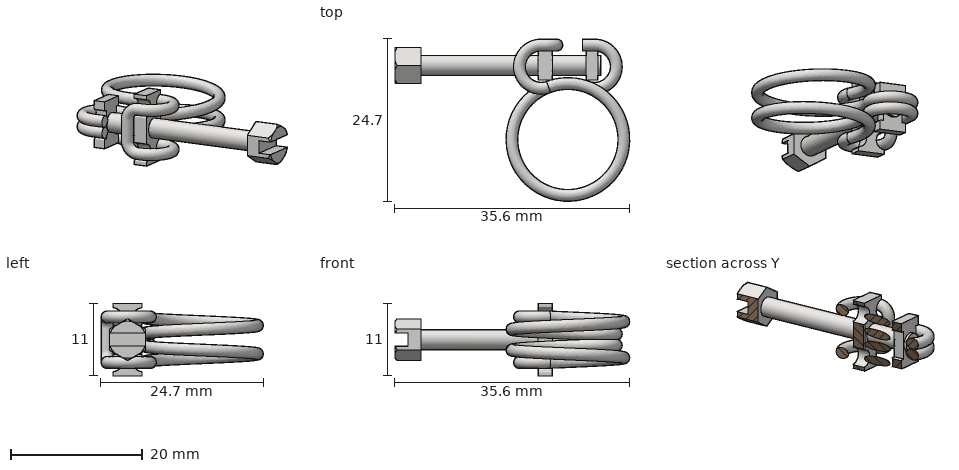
import cadquery as cq
import math


overall_length = 35.65

head_length = 4.0
head_across_flats = 5.5
head_chamfer = 0.35
slot_width = 1.95
slot_depth = 2.0
shank_diameter = 3.05
screw_length = 31.25

wire_diameter = 1.82
ring_radius = 8.5
hook_radius = 3.28
hook_offset = 4.05
hook_center_y = -0.18
clip_level = 3.45
tail_level = 0.85
clip_straight = 0.6
clip_bend_radius = 1.8
tail_straight = 1.85

bar_width = 4.42
rim_fillet = 0.2
clip_bar_start = 21.75
clip_bar_thickness = 2.15
clip_bar_height = 11.0
clip_groove_radius = 1.35
tail_bar_start = 29.02
tail_bar_thickness = 1.8
tail_bar_height = 7.35
tail_groove_height = 4.42
tail_groove_depth = 0.6

wire_radius = wire_diameter / 2
ring_x = overall_length - ring_radius - wire_radius
center_distance = ring_radius + hook_radius
ring_y = hook_center_y - math.sqrt(center_distance**2 - hook_offset**2)
joint_angle = math.degrees(math.asin(hook_offset / center_distance))
clip_hook_x = ring_x - hook_offset
tail_hook_x = ring_x + hook_offset
hook_top_y = hook_center_y + hook_radius


def hook_point(center_x, angle, level):
    """Point on a hook's centre line, with the angle in degrees from +X."""
    turn = math.radians(angle)
    x = center_x + hook_radius * math.cos(turn)
    y = hook_center_y + hook_radius * math.sin(turn)
    return cq.Vector(x, y, level)


def make_screw():
    head = cq.Workplane("YZ").polygon(6, head_across_flats, circumscribed=True)
    head = head.extrude(head_length)
    corner_radius = head_across_flats / math.sqrt(3)
    envelope = cq.Workplane("YZ").circle(corner_radius).extrude(head_length)
    head = head.intersect(envelope.faces("<X").chamfer(head_chamfer))
    slot = cq.Workplane("XY").box(slot_depth, 2 * head_across_flats, slot_width)
    head = head.cut(slot.translate((slot_depth / 2, 0, 0)))
    shank = cq.Workplane("YZ").workplane(offset=head_length)
    shank = shank.circle(shank_diameter / 2).extrude(screw_length - head_length)
    return head.union(shank)


def drilled_bar(start, thickness, height):
    """Upright block with a hole for the screw shank."""
    section = cq.Workplane("YZ").workplane(offset=start).rect(bar_width, height)
    return section.circle(shank_diameter / 2).extrude(thickness)


def soften_rims(bar, rim_levels):
    """Round the groove edges, which run along X on both sides of the bar."""
    half = bar_width / 2
    reach = rim_fillet / 2
    for side in (-half, half):
        for level in rim_levels:
            box = cq.selectors.BoxSelector((0, side - reach, level - reach),
                                           (overall_length, side + reach, level + reach))
            bar = bar.edges("|X").edges(box).fillet(rim_fillet)
    return bar


def make_clip_bar():
    bar = drilled_bar(clip_bar_start, clip_bar_thickness, clip_bar_height)
    centers = [(y, z) for y in (-bar_width / 2, bar_width / 2) for z in (-clip_level, clip_level)]
    grooves = cq.Workplane("YZ").workplane(offset=clip_bar_start).pushPoints(centers)
    bar = bar.cut(grooves.circle(clip_groove_radius).extrude(clip_bar_thickness))
    rims = [side * clip_level + step * clip_groove_radius for side in (-1, 1) for step in (-1, 1)]
    bar = soften_rims(bar, rims)
    clearance = cq.Workplane("XY").center(ring_x, ring_y).circle(ring_radius + wire_radius)
    return bar.cut(clearance.extrude(clip_level, both=True))


def make_tail_bar():
    bar = drilled_bar(tail_bar_start, tail_bar_thickness, tail_bar_height)
    sides = [(-bar_width / 2, 0), (bar_width / 2, 0)]
    grooves = cq.Workplane("YZ").workplane(offset=tail_bar_start).pushPoints(sides)
    bar = bar.cut(grooves.rect(2 * tail_groove_depth, tail_groove_height).extrude(tail_bar_thickness))
    return soften_rims(bar, (-tail_groove_height / 2, tail_groove_height / 2))


def make_clip():
    """Wire clip: two hooks joined by an upright leg."""
    bend_x = clip_hook_x + clip_straight
    leg_x = bend_x + clip_bend_radius
    leg_z = clip_level - clip_bend_radius
    joint = joint_angle - 90
    middle = (90 + joint + 360) / 2
    bend_shift = clip_bend_radius * math.sin(math.radians(45))

    def hook_edge(level):
        return cq.Edge.makeThreePointArc(hook_point(clip_hook_x, joint, level),
                                         hook_point(clip_hook_x, middle, level),
                                         hook_point(clip_hook_x, 90, level))

    def straight_edge(level):
        return cq.Edge.makeLine(hook_point(clip_hook_x, 90, level), cq.Vector(bend_x, hook_top_y, level))

    def bend_edge(side):
        return cq.Edge.makeThreePointArc(
            cq.Vector(bend_x, hook_top_y, side * clip_level),
            cq.Vector(bend_x + bend_shift, hook_top_y, side * (leg_z + bend_shift)),
            cq.Vector(leg_x, hook_top_y, side * leg_z))

    leg = cq.Edge.makeLine(cq.Vector(leg_x, hook_top_y, leg_z), cq.Vector(leg_x, hook_top_y, -leg_z))
    path = cq.Wire.assembleEdges([hook_edge(clip_level), straight_edge(clip_level), bend_edge(1), leg,
                                  bend_edge(-1), straight_edge(-clip_level), hook_edge(-clip_level)])
    start = hook_point(clip_hook_x, joint, clip_level)
    turn = math.radians(joint)
    plane = cq.Plane(origin=start.toTuple(), xDir=(0, 0, 1), normal=(math.sin(turn), -math.cos(turn), 0))
    return cq.Workplane(plane).circle(wire_radius).sweep(cq.Workplane(obj=path))


def make_ring(side):
    """Wire ring above (side 1) or below (side -1) Z = 0: a tail hook and a turn that meets the clip."""
    joint = 270 - joint_angle
    tail_end = cq.Vector(tail_hook_x - tail_straight, hook_top_y, tail_level)
    straight = cq.Edge.makeLine(tail_end, hook_point(tail_hook_x, 90, tail_level))
    hook = cq.Edge.makeThreePointArc(hook_point(tail_hook_x, 90, tail_level),
                                     hook_point(tail_hook_x, (joint - 270) / 2, tail_level),
                                     hook_point(tail_hook_x, joint, tail_level))
    tail_path = cq.Workplane(obj=cq.Wire.assembleEdges([straight, hook]))
    tail = cq.Workplane("YZ", origin=tail_end.toTuple()).circle(wire_radius).sweep(tail_path)

    rise = clip_level - tail_level
    pitch = rise * 360 / (360 + 2 * joint_angle)
    helix = cq.Workplane(obj=cq.Wire.makeHelix(pitch, rise, ring_radius))
    turn = cq.Workplane("XZ").center(ring_radius, 0).circle(wire_radius).sweep(helix, isFrenet=True)
    turn = turn.rotate((0, 0, 0), (0, 0, 1), 90 - joint_angle).translate((ring_x, ring_y, tail_level))

    below = cq.Workplane("XY").rect(4 * overall_length, 4 * overall_length).extrude(-wire_diameter)
    ring = tail.union(turn).cut(below)
    return ring if side > 0 else ring.mirror("XY")


screw = make_screw()
clip_bar = make_clip_bar()
tail_bar = make_tail_bar()
clip = make_clip()
rings = [make_ring(side) for side in (1, -1)]

bodies = [screw, clip_bar, tail_bar, clip, *rings]
result = cq.Compound.makeCompound([body.solids().val() for body in bodies])